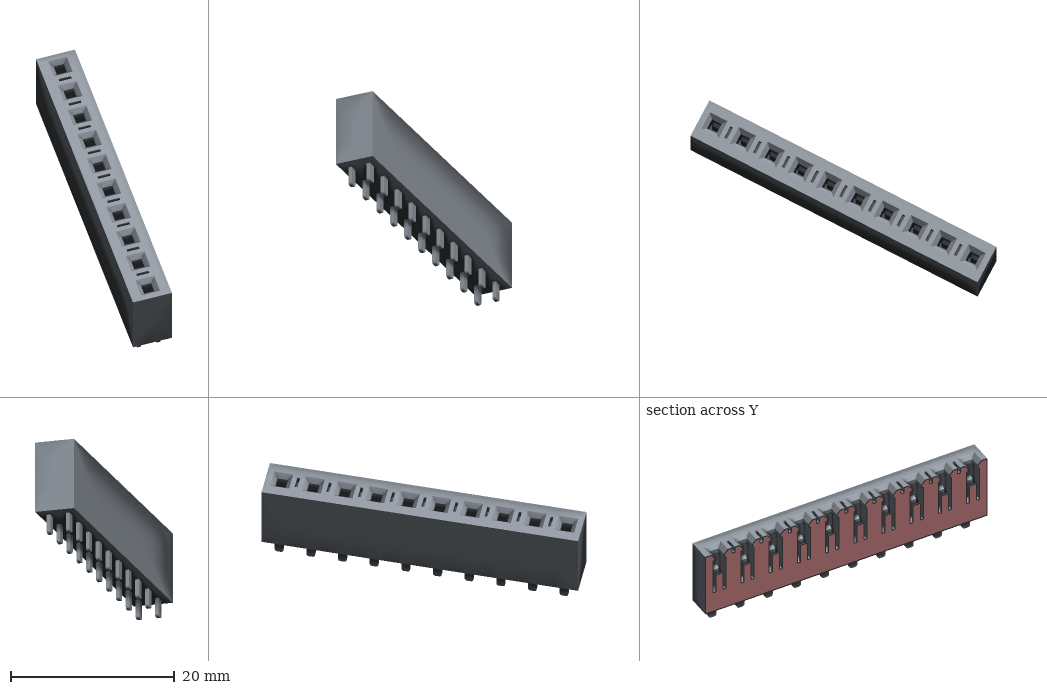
import cadquery as cq
import math

PITCH = 3.95
POSITIONS = 10
HOUSING_LENGTH = PITCH * POSITIONS
HOUSING_WIDTH = 5.0
HOUSING_HEIGHT = 8.9

MOUTH_SIZE = 2.4
THROAT_SIZE = 1.3
MOUTH_DEPTH = (MOUTH_SIZE - THROAT_SIZE) / 2
THROAT_LENGTH = 0.5
CAVITY_SIZE = 1.8
CAVITY_FLOOR_DEPTH = 5.95

BLADE_WIDTH = 1.05
BLADE_GAP = 0.87
BLADE_TOP_DEPTH = 3.15
BLADE_SLOPE_ANGLE = 30.0

SLOT_WIDTH = 0.35
SLOT_LENGTH = 1.6
SLOT_DEPTH = 0.8

PIN_WIDTH = 1.05
PIN_THICKNESS = 0.48
PIN_LENGTH = 2.38
PIN_ROW_SPACING = 2.5
PIN_TIP_RADIUS = 0.3

socket_xs = [(i - (POSITIONS - 1) / 2) * PITCH for i in range(POSITIONS)]
slot_xs = [x + PITCH / 2 for x in socket_xs[:-1]]


def make_blade():
    """Contact blade on the +Y side of a cavity centred on the Z axis."""
    inner_y = BLADE_GAP / 2
    outer_y = CAVITY_SIZE / 2
    slope_drop = (outer_y - inner_y) * math.tan(math.radians(BLADE_SLOPE_ANGLE))
    floor_z = HOUSING_HEIGHT - CAVITY_FLOOR_DEPTH
    top_z = HOUSING_HEIGHT - BLADE_TOP_DEPTH
    return (
        cq.Workplane("YZ")
        .polyline([
            (inner_y, floor_z),
            (outer_y, floor_z),
            (outer_y, top_z),
            (inner_y, top_z - slope_drop),
        ])
        .close()
        .extrude(BLADE_WIDTH / 2, both=True)
    )


def make_socket_cutter():
    """Volume removed for one socket, leaving its two contact blades standing."""
    throat_top = HOUSING_HEIGHT - MOUTH_DEPTH
    cavity_top = throat_top - THROAT_LENGTH
    cavity_floor = HOUSING_HEIGHT - CAVITY_FLOOR_DEPTH
    mouth = (
        cq.Workplane("XY", origin=(0, 0, HOUSING_HEIGHT))
        .rect(MOUTH_SIZE, MOUTH_SIZE)
        .workplane(offset=-MOUTH_DEPTH)
        .rect(THROAT_SIZE, THROAT_SIZE)
        .loft(ruled=True)
    )
    throat = (
        cq.Workplane("XY", origin=(0, 0, throat_top))
        .rect(THROAT_SIZE, THROAT_SIZE)
        .extrude(-THROAT_LENGTH)
    )
    cavity = (
        cq.Workplane("XY", origin=(0, 0, cavity_floor))
        .rect(CAVITY_SIZE, CAVITY_SIZE)
        .extrude(cavity_top - cavity_floor)
    )
    blade = make_blade()
    cavity = cavity.cut(blade).cut(blade.mirror("XZ"))
    return mouth.union(throat).union(cavity)


def make_pin(x, y):
    """Flat pin with its two lower corners rounded across its width."""
    return (
        cq.Workplane("XY", origin=(x, y, 0))
        .rect(PIN_WIDTH, PIN_THICKNESS)
        .extrude(-PIN_LENGTH)
        .edges("<Z and |Y")
        .fillet(PIN_TIP_RADIUS)
    )


result = cq.Workplane("XY").box(
    HOUSING_LENGTH, HOUSING_WIDTH, HOUSING_HEIGHT, centered=(True, True, False)
)

socket_cutter = make_socket_cutter()
for socket_x in socket_xs:
    result = result.cut(socket_cutter.translate((socket_x, 0, 0)))

slots = (
    cq.Workplane("XY", origin=(0, 0, HOUSING_HEIGHT))
    .pushPoints([(x, 0) for x in slot_xs])
    .rect(SLOT_WIDTH, SLOT_LENGTH)
    .extrude(-SLOT_DEPTH)
)
result = result.cut(slots)

for socket_x in socket_xs:
    for row_y in (-PIN_ROW_SPACING / 2, PIN_ROW_SPACING / 2):
        result = result.union(make_pin(socket_x, row_y))